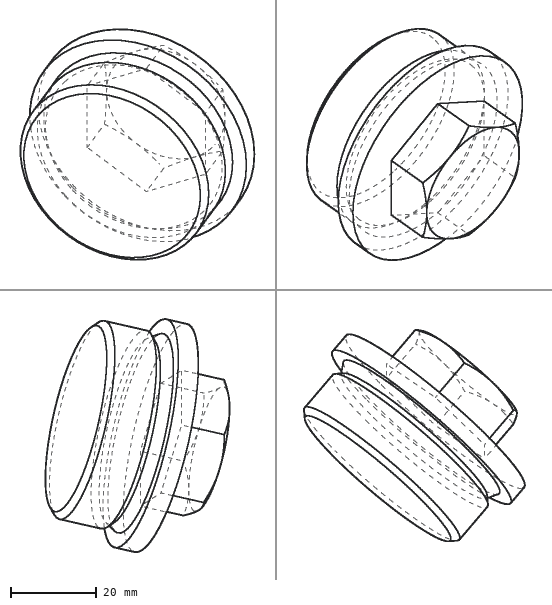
import cadquery as cq
import math

flange_diameter = 55.0
flange_thickness = 5.0

thread_diameter = 47.8
thread_length = 16.0
thread_chamfer = 1.5

groove_length = 2.7
groove_root_diameter = thread_diameter - 2 * thread_chamfer
groove_top_diameter = 48.0

hex_across_flats = 30.0
hex_height = 12.0
hex_chamfer_angle = 30.0

flange_radius = flange_diameter / 2
thread_radius = thread_diameter / 2
groove_root_radius = groove_root_diameter / 2
hex_corner_radius = hex_across_flats / math.sqrt(3)
hex_end_y = flange_thickness + hex_height


def make_turned_body():
    """Flange, tapered groove and chamfered shank, revolved about Y."""
    profile = (
        cq.Workplane("XY")
        .moveTo(0, -thread_length)
        .lineTo(thread_radius - thread_chamfer, -thread_length)
        .lineTo(thread_radius, -thread_length + thread_chamfer)
        .lineTo(thread_radius, -groove_length - thread_chamfer)
        .lineTo(groove_root_radius, -groove_length)
        .lineTo(groove_top_diameter / 2, 0)
        .lineTo(flange_radius, 0)
        .lineTo(flange_radius, flange_thickness)
        .lineTo(0, flange_thickness)
        .close()
    )
    return profile.revolve(360, (0, 0, 0), (0, 1, 0))


def make_hex_head():
    """Hexagon with two flats facing +X and -X and a conical end chamfer."""
    corners = []
    for index in range(6):
        angle = math.radians(90 + 60 * index)
        corners.append((hex_corner_radius * math.cos(angle), hex_corner_radius * math.sin(angle)))
    hexagon = (
        cq.Workplane("XZ", origin=(0, flange_thickness, 0))
        .polyline(corners)
        .close()
        .extrude(-hex_height)
    )

    flat_radius = hex_across_flats / 2
    chamfer_drop = (flange_radius - flat_radius) * math.tan(math.radians(hex_chamfer_angle))
    chamfer_envelope = (
        cq.Workplane("XY")
        .moveTo(0, flange_thickness)
        .lineTo(flange_radius, flange_thickness)
        .lineTo(flange_radius, hex_end_y - chamfer_drop)
        .lineTo(flat_radius, hex_end_y)
        .lineTo(0, hex_end_y)
        .close()
        .revolve(360, (0, 0, 0), (0, 1, 0))
    )
    return hexagon.intersect(chamfer_envelope)


result = make_turned_body().union(make_hex_head())